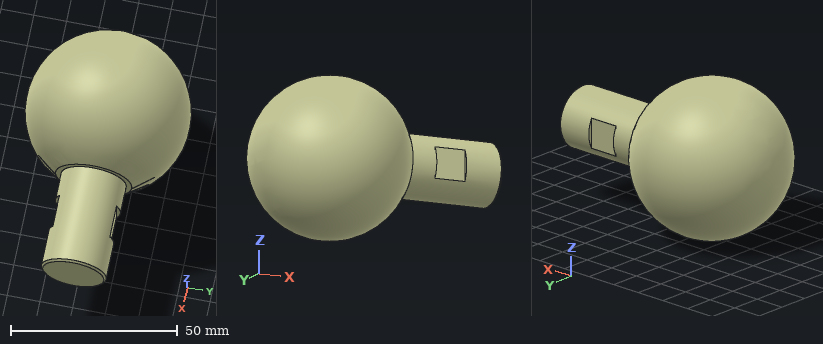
import cadquery as cq

overall_length = 78.0
ball_diameter = 50.0
ball_radius = ball_diameter / 2
ball_face_from_tip = 47.1

shank_diameter = 20.0
end_chamfer = 0.6

flat_width = 10.0
flat_to_end = 12.2
across_flats = 17.5

ball_face_x = ball_face_from_tip - ball_radius
shank_end_x = overall_length - ball_radius


def make_ball():
    """Sphere cut off flat on the shank side."""
    kept_side = cq.Workplane("XY").box(
        ball_face_from_tip, ball_diameter, ball_diameter
    ).translate((ball_face_x - ball_face_from_tip / 2, 0, 0))
    return cq.Workplane("XY").sphere(ball_radius).intersect(kept_side)


def make_shank():
    """Round shank running from the ball centre, chamfered at its free end."""
    shank = cq.Workplane("YZ").circle(shank_diameter / 2).extrude(shank_end_x)
    return shank.faces(">X").edges().chamfer(end_chamfer)


def make_flat_cutter(side):
    """Block removed from one side of the shank to leave a wrench flat."""
    cutter_depth = shank_diameter / 2
    center_x = shank_end_x - flat_to_end - flat_width / 2
    center_y = side * (across_flats + cutter_depth) / 2
    cutter = cq.Workplane("XY").box(flat_width, cutter_depth, shank_diameter)
    return cutter.translate((center_x, center_y, 0))


result = make_ball().union(make_shank())
for side in (-1, 1):
    result = result.cut(make_flat_cutter(side))